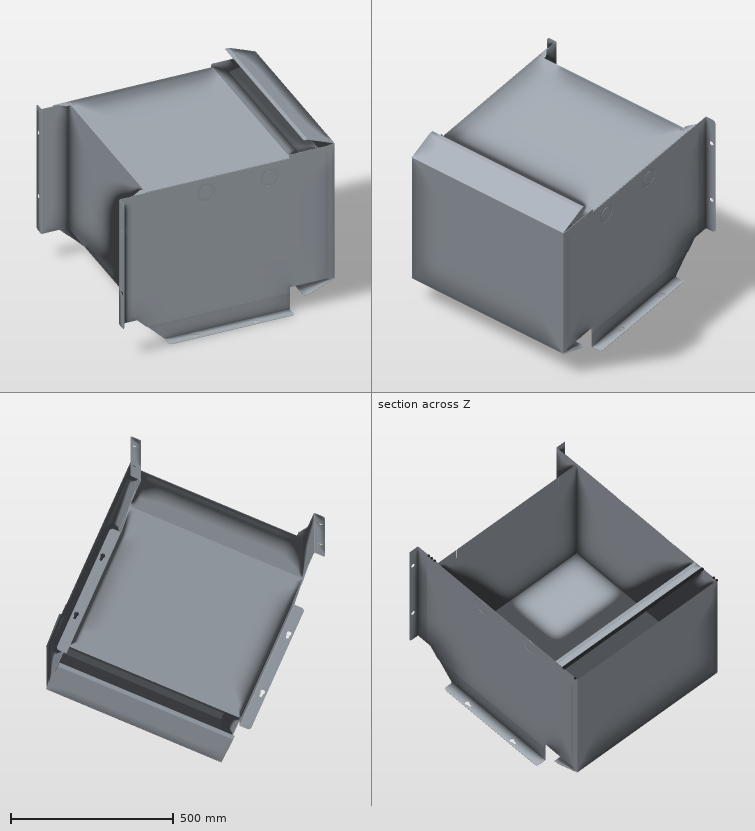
import cadquery as cq
import math

SHEET = 1.5
BEND_INNER = 1.0
BEND_OUTER = BEND_INNER + SHEET
DEPTH = 728.0
HEIGHT = 604.5
BACK_Y = DEPTH / 2
FRONT_Y = -DEPTH / 2
HIGH_Z = HEIGHT / 2
LOW_Z = -HEIGHT / 2

FLANGE_HALF = 327.0
BACK_HALF = 295.0
SIDE_HALF = BACK_HALF - SHEET
INNER_HALF = SIDE_HALF - SHEET

TOP_Z = 248.0
TOP_BEND_Y = 216.0
TOP_FRONT_Y = -274.5
GUTTER_Y, GUTTER_Z = 272.0, 216.0
GUTTER_END_Y, GUTTER_END_Z = 332.0, 228.0
SLIT_X, SLIT_Y = -276.0, -264.0
SLIT_LENGTH, SLIT_WIDTH = 20.5, 3.0

SIDE_FRONT_Y = -323.0
SIDE_REAR_Y = BACK_Y - BEND_OUTER
SIDE_HIGH_Z = 260.0
SIDE_STEP_Y = 212.0
SIDE_REAR_LOW_Z = -220.0
SIDE_LOW_Z = -240.0
SIDE_CUT_Z = -188.5
STEP_CHAMFER = 3.0
LIP_INNER = 271.5
LIP_REAR_Y, LIP_FRONT_Y = 208.0, -315.0
LIP_REAR_TAPER, LIP_FRONT_TAPER = 12.5, 29.0
KNOCKOUT_Y = (145.5, -70.0)
KNOCKOUT_Z = 196.5
KNOCKOUT_OUTER, KNOCKOUT_INNER = 64.0, 44.0
KNOCKOUT_DEPTH = 1.0

BACK_TOP_Z, BACK_LOW_Z = 266.0, -226.0
RETURN_DEPTH = 20.5
RETURN_GAP = 3.0
FLAP_BEND_Y, FLAP_END_Y = 273.0, 260.0
FLAP_RISE = HIGH_Z - BACK_TOP_Z

PANEL_Y = -273.0
PANEL_BACK_Y = PANEL_Y + SHEET
FLOOR_Z = -209.0
WING_TOP_Z = 244.0
PANEL_TOP_Z = TOP_Z - 2 * SHEET
PANEL_LIP_DEPTH = 33.0
MOUNT_HOLE = 14.5
MOUNT_HOLE_X = 313.0
MOUNT_HOLE_Z = (146.0, -83.0)
CORNER_RADIUS = 10.0

SLOT_HALF = 214.0
PLATE_TOP_Z, PLATE_LOW_Z = 226.0, 183.0
PLATE_END_GAP = 2.0

FLOOR_REAR_Y = 214.0
FLOOR_FRONT_Y = -272.0
FOOT_FRONT_Y = -209.0
KEYHOLE_Y = (87.0, -117.0)
KEYHOLE_SLOT_WIDTH = 9.0
KEYHOLE_REACH = 17.5


def box(x0, x1, y0, y1, z0, z1):
    """A block between two opposite corners."""
    return cq.Workplane("XY").box(x1 - x0, y1 - y0, z1 - z0, centered=False).translate((x0, y0, z0))


def bent_sheet(plane, path):
    """Section of a bent sheet on the left of the path; the path itself is the other face, before rounding."""
    headings = [math.atan2(v1 - v0, u1 - u0) for (u0, v0), (u1, v1) in zip(path, path[1:])]

    def end_point(point, heading, offset):
        return (point[0] - offset * math.sin(heading), point[1] + offset * math.cos(heading))

    def bend_arc(corner, before, after, offset):
        """Start, middle and end of the rounded bend, on the face at this offset from the path."""
        half_turn = math.remainder(after - before, 2 * math.pi) / 2
        left_turn = half_turn > 0
        bisector = (before + half_turn) + math.pi / 2
        centre_offset = SHEET + BEND_INNER if left_turn else -BEND_INNER
        reach = centre_offset / math.cos(half_turn)
        centre = (corner[0] + reach * math.cos(bisector), corner[1] + reach * math.sin(bisector))
        signed_radius = offset - centre_offset
        return [end_point(centre, heading, signed_radius) for heading in (before, before + half_turn, after)]

    def face_arcs(offset):
        return [
            bend_arc(corner, before, after, offset)
            for corner, before, after in zip(path[1:-1], headings, headings[1:])
        ]

    section = cq.Workplane(plane).moveTo(*path[0])
    for start, middle, end in face_arcs(0):
        section = section.lineTo(*start).threePointArc(middle, end)
    section = section.lineTo(*path[-1]).lineTo(*end_point(path[-1], headings[-1], SHEET))
    for start, middle, end in reversed(face_arcs(SHEET)):
        section = section.lineTo(*end).threePointArc(middle, start)
    return section.lineTo(*end_point(path[0], headings[0], SHEET)).close()


def both_halves(left_half):
    """A left-to-right symmetric path from the points of its left half."""
    return left_half + [(-u, v) for u, v in reversed(left_half)]


def mirrored(body):
    return body.mirror("YZ")


def make_top_panel():
    path = [
        (GUTTER_END_Y, GUTTER_END_Z),
        (GUTTER_Y, GUTTER_Z),
        (TOP_BEND_Y, TOP_Z),
        (TOP_FRONT_Y, TOP_Z),
    ]
    panel = bent_sheet("YZ", path).extrude(INNER_HALF, both=True)
    slit = cq.Workplane("XY", origin=(SLIT_X, SLIT_Y, TOP_Z)).rect(SLIT_LENGTH, SLIT_WIDTH).extrude(-SHEET)
    return panel.cut(slit)


def make_left_side():
    lip_z = TOP_Z - SHEET
    cut = SIDE_CUT_Z - SIDE_LOW_Z
    outline = [
        (SIDE_REAR_Y, SIDE_REAR_LOW_Z),
        (SIDE_REAR_Y, SIDE_HIGH_Z),
        (SIDE_STEP_Y + STEP_CHAMFER, SIDE_HIGH_Z),
        (SIDE_STEP_Y, SIDE_HIGH_Z - STEP_CHAMFER),
        (SIDE_STEP_Y, lip_z),
        (SIDE_FRONT_Y, lip_z),
        (SIDE_FRONT_Y, SIDE_CUT_Z),
        (SIDE_FRONT_Y + cut, SIDE_LOW_Z),
        (FLOOR_REAR_Y, SIDE_LOW_Z),
        (FLOOR_REAR_Y, SIDE_REAR_LOW_Z),
    ]
    wall = cq.Workplane("YZ", origin=(-SIDE_HALF, 0, 0)).polyline(outline).close().extrude(SHEET)

    lip_outline = [
        (-SIDE_HALF, LIP_REAR_Y),
        (-INNER_HALF, LIP_REAR_Y),
        (-LIP_INNER, LIP_REAR_Y - LIP_REAR_TAPER),
        (-LIP_INNER, LIP_FRONT_Y + LIP_FRONT_TAPER),
        (-INNER_HALF, LIP_FRONT_Y),
        (-SIDE_HALF, LIP_FRONT_Y),
    ]
    lip = cq.Workplane("XY", origin=(0, 0, lip_z)).polyline(lip_outline).close().extrude(-SHEET)

    rings = (
        cq.Workplane("YZ", origin=(-SIDE_HALF, 0, 0))
        .pushPoints([(y, KNOCKOUT_Z) for y in KNOCKOUT_Y])
        .circle(KNOCKOUT_OUTER / 2)
        .circle(KNOCKOUT_INNER / 2)
        .extrude(KNOCKOUT_DEPTH)
    )
    return wall.union(lip).cut(rings)


def make_back_panel():
    path = [
        (FLAP_END_Y, BACK_LOW_Z - FLAP_RISE),
        (FLAP_BEND_Y, BACK_LOW_Z - FLAP_RISE),
        (BACK_Y, BACK_LOW_Z),
        (BACK_Y, BACK_TOP_Z),
        (FLAP_BEND_Y, HIGH_Z),
        (FLAP_END_Y, HIGH_Z),
    ]
    panel = bent_sheet("YZ", path).extrude(BACK_HALF, both=True)

    return_low_z = BACK_LOW_Z + RETURN_GAP
    return_top_z = BACK_TOP_Z - RETURN_GAP
    middle = box(-BACK_HALF, BACK_HALF, BACK_Y - SHEET, BACK_Y, return_low_z, return_top_z)
    fold_path = both_halves([
        (-SIDE_HALF, BACK_Y - RETURN_DEPTH),
        (-SIDE_HALF, BACK_Y - SHEET),
    ])
    folded = bent_sheet("XY", fold_path).extrude(return_top_z - return_low_z).translate((0, 0, return_low_z))
    return panel.cut(middle).union(folded)


def make_front_panel():
    path = both_halves([
        (-FLANGE_HALF, FRONT_Y),
        (-INNER_HALF + SHEET, FRONT_Y),
        (-INNER_HALF + SHEET, PANEL_Y),
    ])
    panel = bent_sheet("XY", path).extrude(WING_TOP_Z - FLOOR_Z).translate((0, 0, FLOOR_Z))
    panel = panel.edges("|Y and (<X or >X)").fillet(CORNER_RADIUS)

    lip_half = INNER_HALF - BEND_OUTER
    upstand = box(-lip_half, lip_half, PANEL_Y, PANEL_BACK_Y, WING_TOP_Z, PANEL_TOP_Z)
    lip = box(-lip_half, lip_half, PANEL_Y, PANEL_Y + PANEL_LIP_DEPTH, PANEL_TOP_Z - SHEET, PANEL_TOP_Z)
    slot = box(-SLOT_HALF, SLOT_HALF, PANEL_Y, PANEL_BACK_Y, PLATE_LOW_Z, PLATE_TOP_Z)
    holes = (
        cq.Workplane("XZ", origin=(0, FRONT_Y, 0))
        .pushPoints([(side * MOUNT_HOLE_X, z) for side in (-1, 1) for z in MOUNT_HOLE_Z])
        .circle(MOUNT_HOLE / 2)
        .extrude(-SHEET)
    )
    return panel.union(upstand).union(lip).cut(slot).cut(holes)


def make_cover_plate():
    plate_half = SLOT_HALF - PLATE_END_GAP
    return box(-plate_half, plate_half, PANEL_Y, PANEL_BACK_Y, PLATE_LOW_Z, PLATE_TOP_Z)


def keyhole(x, y):
    """Round hole with a narrower slot towards the back, through a foot flange."""
    slot_radius = KEYHOLE_SLOT_WIDTH / 2
    plane = cq.Workplane("XY", origin=(x, y, LOW_Z))
    slot_end = KEYHOLE_REACH - slot_radius
    round_hole = plane.circle(MOUNT_HOLE / 2).extrude(SHEET)
    slot = plane.center(0, slot_end / 2).rect(KEYHOLE_SLOT_WIDTH, slot_end).extrude(SHEET)
    tip = plane.center(0, slot_end).circle(slot_radius).extrude(SHEET)
    return round_hole.union(slot).union(tip)


def make_bottom_panel():
    path = both_halves([
        (-FLANGE_HALF, LOW_Z),
        (-INNER_HALF + SHEET, LOW_Z),
        (-INNER_HALF + SHEET, FLOOR_Z - SHEET),
    ])
    length = FLOOR_REAR_Y - FLOOR_FRONT_Y
    panel = bent_sheet("XZ", path).extrude(length).translate((0, FLOOR_REAR_Y, 0))

    foot_top_z = LOW_Z + SHEET
    front_cut = [
        (FLOOR_FRONT_Y, LOW_Z),
        (FLOOR_FRONT_Y, foot_top_z + FOOT_FRONT_Y - FLOOR_FRONT_Y),
        (FOOT_FRONT_Y, foot_top_z),
        (FOOT_FRONT_Y, LOW_Z),
    ]
    panel = panel.cut(cq.Workplane("YZ").polyline(front_cut).close().extrude(FLANGE_HALF, both=True))
    panel = panel.edges("|Z and (<X or >X)").fillet(CORNER_RADIUS)

    for x in (-MOUNT_HOLE_X, MOUNT_HOLE_X):
        for y in KEYHOLE_Y:
            panel = panel.cut(keyhole(x, y))
    return panel


top_panel = make_top_panel()
left_side = make_left_side()
right_side = mirrored(left_side)
back_panel = make_back_panel()
front_panel = make_front_panel()
cover_plate = make_cover_plate()
bottom_panel = make_bottom_panel()

result = cq.Compound.makeCompound([
    top_panel.val(),
    left_side.val(),
    right_side.val(),
    back_panel.val(),
    front_panel.val(),
    cover_plate.val(),
    bottom_panel.val(),
])